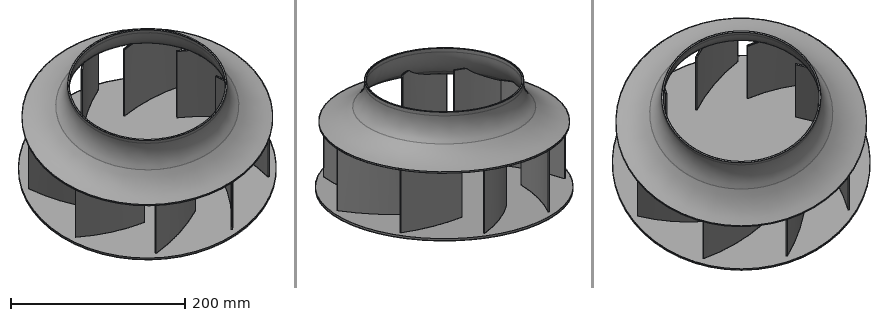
import cadquery as cq
import math

plate_radius = 148.0
plate_thickness = 3.0

total_height = 136.5
neck_radius = 183.0 / 2
neck_inner_radius = 179.0 / 2
wall = neck_radius - neck_inner_radius
neck_bottom = 132.0
seam_radius = 105.0
seam_height = 102.7
rim_radius = 288.0 / 2
rim_bottom = 83.2
rim_top = rim_bottom + wall

blade_count = 9
blade_pitch = 360 / blade_count
tip_radius = 139.5
tip_angle = 7.4
inner_edge_radius = 88.2
blade_sweep = 33.7
blade_bulge = 4.0
blade_thickness = 1.8
blade_top = 109.5

flare = seam_radius - neck_radius
drop = neck_bottom - seam_height
upper_arc_radius = (flare**2 + drop**2) / (2 * flare)
seam_angle = math.asin(drop / upper_arc_radius)

lower_run = rim_radius - seam_radius
lower_drop = seam_height - rim_top
start_slope = math.pi / 2 - seam_angle
chord_slope = math.atan2(lower_drop, lower_run)
half_turn = start_slope - chord_slope
lower_arc_radius = math.hypot(lower_run, lower_drop) / (2 * math.sin(half_turn))
end_slope = start_slope - 2 * half_turn


def polar(radius, angle):
    """Point at a radius and an angle in degrees about the fan axis."""
    return radius * math.cos(math.radians(angle)), radius * math.sin(math.radians(angle))


def upper_point(angle, offset):
    """Point on the upper arc, moved by offset toward the inside of the shroud."""
    radius = upper_arc_radius + offset
    return (
        neck_radius + upper_arc_radius - radius * math.cos(angle),
        neck_bottom - radius * math.sin(angle),
    )


def lower_point(slope, offset):
    """Point on the lower arc where it falls at the given slope, moved inward by offset."""
    radius = lower_arc_radius + offset
    center_x = seam_radius + lower_arc_radius * math.sin(start_slope)
    center_z = seam_height + lower_arc_radius * math.cos(start_slope)
    return center_x - radius * math.sin(slope), center_z - radius * math.cos(slope)


def revolve_profile(profile):
    return profile.close().revolve(360, (0, 0, 0), (0, 1, 0))


def shroud_line(start, offset):
    """Line from start on top of the neck down to the rim, offset inward from the outer surface."""
    radius = neck_radius - offset
    return (
        cq.Workplane("XZ")
        .moveTo(*start)
        .lineTo(radius, total_height)
        .lineTo(radius, neck_bottom)
        .threePointArc(upper_point(seam_angle / 2, offset), upper_point(seam_angle, offset))
        .threePointArc(
            lower_point(start_slope - half_turn, offset), lower_point(end_slope, offset)
        )
    )


def make_shroud():
    profile = (
        shroud_line((neck_inner_radius, total_height), 0)
        .lineTo(rim_radius, rim_bottom)
        .lineTo(*lower_point(end_slope, wall))
        .threePointArc(lower_point(start_slope - half_turn, wall), upper_point(seam_angle, wall))
        .threePointArc(upper_point(seam_angle / 2, wall), (neck_inner_radius, neck_bottom))
    )
    return revolve_profile(profile)


def make_blade_envelope():
    """Solid space from the underside of the plate up to the middle of the shroud wall."""
    rim_x = lower_point(end_slope, wall / 2)[0]
    profile = shroud_line((0, total_height), wall / 2).lineTo(rim_x, 0).lineTo(0, 0)
    return revolve_profile(profile)


def make_blade():
    """Curved blade that bulges away from the fan axis."""
    tip = polar(tip_radius, tip_angle)
    inner = polar(inner_edge_radius, tip_angle + blade_sweep)
    run_x, run_y = inner[0] - tip[0], inner[1] - tip[1]
    chord = math.hypot(run_x, run_y)
    normal_x, normal_y = run_y / chord, -run_x / chord
    arc_radius = (chord**2 / 4 + blade_bulge**2) / (2 * blade_bulge)
    mid = (
        (tip[0] + inner[0]) / 2 + normal_x * blade_bulge,
        (tip[1] + inner[1]) / 2 + normal_y * blade_bulge,
    )
    center = (mid[0] - normal_x * arc_radius, mid[1] - normal_y * arc_radius)
    ratio = (arc_radius + blade_thickness) / arc_radius

    def outside(point):
        """Matching point on the convex face."""
        return tuple(c + (p - c) * ratio for p, c in zip(point, center))

    return (
        cq.Workplane("XY")
        .moveTo(*tip)
        .threePointArc(mid, inner)
        .lineTo(*outside(inner))
        .threePointArc(outside(mid), outside(tip))
        .close()
        .extrude(blade_top)
    )


plate = cq.Workplane("XY").circle(plate_radius).extrude(plate_thickness)
blade = make_blade().intersect(make_blade_envelope())

result = plate.union(make_shroud())
for index in range(blade_count):
    result = result.union(blade.rotate((0, 0, 0), (0, 0, 1), index * blade_pitch))